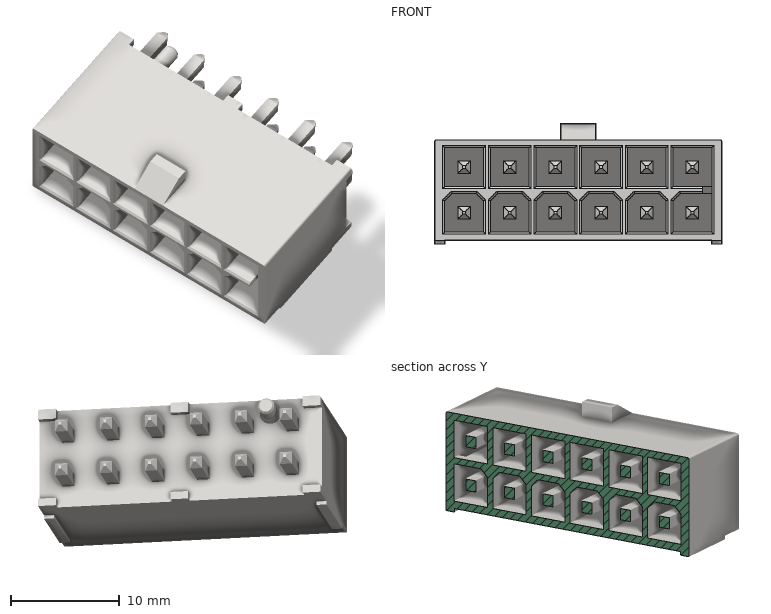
import cadquery as cq
import math


housing_width = 26.4
housing_depth = 12.8
housing_height = 9.25
top_edge_radius = 0.18

columns = 6
pitch = 4.2
upper_row_drop = 2.5
upper_row_z = housing_height - upper_row_drop
lower_row_z = upper_row_z - pitch
column_xs = [(i - (columns - 1) / 2) * pitch for i in range(columns)]

cell_size = 3.56
cell_depth = 10.0
mouth_bevel = 0.18
mouth_size = cell_size + 2 * mouth_bevel
mouth_corner_cut = 0.8

slot_width = 0.85
slot_depth = 7.92

pin_width = 1.14
pin_front = 3.0
overall_depth = 17.27
pin_taper = 0.75
pin_tip_width = 0.26

latch_width = 3.25
latch_height = 1.48
latch_back = 3.5
latch_flat = 1.0

rail_width = 0.95
rail_height = 0.35
rail_front = 2.43
rail_back = 10.5

standoff_width = 1.65
standoff_length = 0.77
upper_standoff_height = 0.95
lower_standoff_height = 0.7

peg_diameter = 1.5
peg_base_diameter = 2.03
peg_base_length = 0.65
peg_length = 2.5
peg_chamfer = 0.26
peg_tip_diameter = 1.2
peg_x = column_xs[0] + pitch / 2
peg_drop = 1.25
peg_z = housing_height - peg_drop


def block(x_min, x_max, y_min, y_max, z_min, z_max):
    """Axis-aligned box between the given limits."""
    size = (x_max - x_min, y_max - y_min, z_max - z_min)
    return cq.Workplane("XY").box(*size, centered=False).translate((x_min, y_min, z_min))


def facing_back(y):
    """Workplane at depth y whose normal is +Y, with local x = -X and local y = Z."""
    return cq.Plane(origin=(0, y, 0), xDir=(-1, 0, 0), normal=(0, 1, 0))


def cell_outline(x, z, size, left_cut, right_cut):
    """Square outline centred on (x, z) with its upper corners optionally cut at 45 degrees."""
    half = size / 2
    points = [(x - half, z - half), (x + half, z - half)]
    if right_cut:
        points += [(x + half, z + half - right_cut), (x + half - right_cut, z + half)]
    else:
        points.append((x + half, z + half))
    if left_cut:
        points += [(x - half + left_cut, z + half), (x - half, z + half - left_cut)]
    else:
        points.append((x - half, z + half))
    return [(-px, pz) for px, pz in points]


def cell(x, z, cut_left=False, cut_right=False):
    """Cavity of one cell: a bevelled mouth followed by a straight pocket."""
    inner_corner_cut = mouth_corner_cut - (2 - math.sqrt(2)) * mouth_bevel
    mouth = cell_outline(x, z, mouth_size, cut_left * mouth_corner_cut, cut_right * mouth_corner_cut)
    inner = cell_outline(x, z, cell_size, cut_left * inner_corner_cut, cut_right * inner_corner_cut)
    bevel = (
        cq.Workplane(facing_back(0))
        .polyline(mouth).close()
        .workplane(offset=mouth_bevel)
        .polyline(inner).close()
        .loft(ruled=True)
    )
    pocket = (
        cq.Workplane(facing_back(mouth_bevel))
        .polyline(inner).close()
        .extrude(cell_depth - mouth_bevel)
    )
    return bevel.union(pocket)


def key_slot():
    """Slot joining the last two cells, following the bevel of their outer wall."""
    right = column_xs[-1] + cell_size / 2
    left = right - slot_width
    outline = [
        (left, 0),
        (right + mouth_bevel, 0),
        (right, mouth_bevel),
        (right, slot_depth),
        (left, slot_depth),
    ]
    bottom = lower_row_z + cell_size / 2
    top = upper_row_z - cell_size / 2
    return cq.Workplane("XY").workplane(offset=bottom).polyline(outline).close().extrude(top - bottom)


def pin(x, z):
    """Square pin along Y with a blunt pyramid at each end."""
    shank_length = overall_depth - pin_front - 2 * pin_taper
    shank = (
        cq.Workplane(facing_back(pin_front + pin_taper))
        .rect(pin_width, pin_width)
        .extrude(shank_length)
    )
    back_tip = (
        shank.faces(">Y").workplane()
        .rect(pin_width, pin_width)
        .workplane(offset=pin_taper)
        .rect(pin_tip_width, pin_tip_width)
        .loft(combine=False)
    )
    front_tip = back_tip.mirror("XZ").translate((0, overall_depth + pin_front, 0))
    return shank.union(back_tip).union(front_tip).translate((x, 0, z))


def latch():
    """Wedge rising from the front edge to a short flat."""
    profile = [
        (0, housing_height),
        (latch_back, housing_height),
        (latch_back, housing_height + latch_height),
        (latch_back - latch_flat, housing_height + latch_height),
    ]
    return cq.Workplane("YZ").polyline(profile).close().extrude(latch_width / 2, both=True)


def peg():
    """Round peg with a conical base and a bevelled end."""
    profile = [
        (0, 0),
        (peg_base_diameter / 2, 0),
        (peg_diameter / 2, peg_base_length),
        (peg_diameter / 2, peg_length - peg_chamfer),
        (peg_tip_diameter / 2, peg_length),
        (0, peg_length),
    ]
    turned = cq.Workplane("XY").polyline(profile).close().revolve(360, (0, 0, 0), (0, 1, 0))
    return turned.translate((peg_x, housing_depth, peg_z))


half_width = housing_width / 2
standoff_back = housing_depth + standoff_length
body = block(-half_width, half_width, 0, housing_depth, 0, housing_height)
standoff_offset = half_width - standoff_width / 2
for x in (-standoff_offset, 0, standoff_offset):
    for z_min, z_max in (
        (0, lower_standoff_height),
        (housing_height - upper_standoff_height, housing_height),
    ):
        left, right = x - standoff_width / 2, x + standoff_width / 2
        body = body.union(block(left, right, housing_depth, standoff_back, z_min, z_max))
body = body.clean()
for side in (-1, 1):
    edge = cq.selectors.NearestToPointSelector((side * half_width, standoff_back / 2, housing_height))
    body = body.edges(edge).fillet(top_edge_radius)

for x in (-half_width, half_width - rail_width):
    body = body.union(block(x, x + rail_width, rail_front, rail_back, -rail_height, 0))

body = body.union(latch()).union(peg())

for x in column_xs:
    body = body.cut(cell(x, upper_row_z))
    body = body.cut(cell(x, lower_row_z, cut_left=True, cut_right=x != column_xs[-1]))
body = body.cut(key_slot())

for x in column_xs:
    for z in (lower_row_z, upper_row_z):
        body = body.union(pin(x, z))

result = body